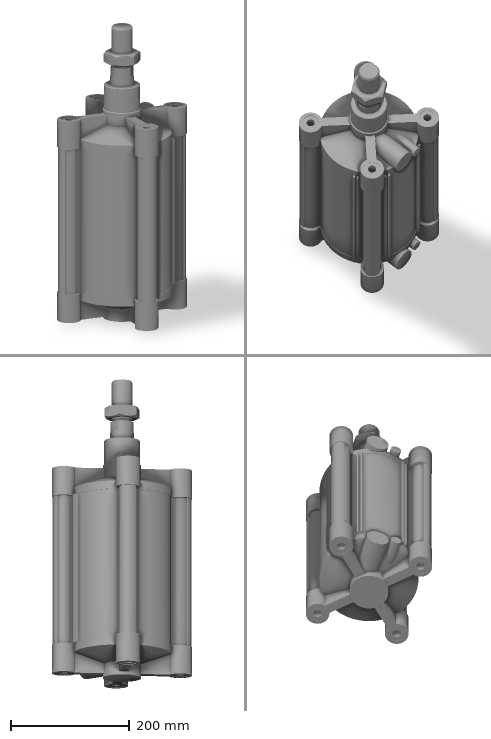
import cadquery as cq
import math

total_length = 513.0
pilot_height = 6.0
cap_height = 49.0
cap_rim_height = 14.0
cone_height = 18.5
barrel_bottom = pilot_height + cap_height
barrel_length = 256.0
barrel_top = barrel_bottom + barrel_length
head_top = barrel_top + cap_height + pilot_height

cap_diameter = 168.0
pilot_diameter = 65.0
boss_spacing = 140.0
boss_diameter = 40.0
boss_hole_diameter = 14.0
boss_hole_depth = 31.0
boss_recess_diameter = 28.0
boss_recess_depth = 1.0
rib_width = 16.5
collar_diameter = 61.0
collar_top = 410.5
collar_chamfer = 1.0
collar_foot_height = 1.0

port_face_y = (boss_spacing + boss_diameter) / 2
port_diameter = 38.5
port_x = 11.5
port_height = cap_height / 2
screw_boss_diameter = 18.0
screw_boss_x = -21.0
screw_boss_height = 17.0

barrel_diameter = 166.0
lobe_nose_radius = 14.5
lobe_nose_center = 73.5
lobe_land_width = 3.5
lobe_step = 3.0
lobe_cheek_radius = 15.0
lobe_stem_width = 23.0
rail_angle = 27.0
rail_gap = 3.5
rail_width = 3.0
rail_reach = 89.0

rod_diameter = 40.0
rod_end_diameter = 39.5
rod_end_bottom = 424.0
thread_diameter = 36.0
thread_chamfer_height = 3.5
thread_runout_height = 1.5
thread_bottom = 444.5
neck_diameter = 32.0
shoulder_z = 441.5
flat_height = 16.0
flat_spacing = 36.0

nut_across_flats = 55.0
nut_across_corners = nut_across_flats / math.cos(math.pi / 6)
nut_height = 19.5
nut_bottom = 448.5
nut_face_diameter = 52.5
nut_chamfer_angle = 30.0

boss_points = [(sx * boss_spacing / 2, sy * boss_spacing / 2) for sx in (-1, 1) for sy in (-1, 1)]


def cylinder(diameter, bottom, top):
    return cq.Workplane("XY").workplane(offset=bottom).circle(diameter / 2).extrude(top - bottom)


def turned(profile):
    """Solid of revolution about Z from (radius, height) points."""
    return cq.Workplane("XZ").polyline(profile).close().revolve(360, (0, 0, 0), (0, 1, 0))


def port_tube(diameter, x, z):
    """Tube that runs from the cap axis to the +Y port face."""
    return cq.Workplane("XZ").center(x, z).circle(diameter / 2).extrude(-port_face_y)


def make_cap():
    """End cap with its barrel end on Z = 0 and its pilot pointing up."""
    rim = cap_diameter / 2
    pilot = pilot_diameter / 2
    pilot_top = cap_height + pilot_height
    cone_top = cap_rim_height + cone_height
    dome = turned(
        [(0, 0), (rim, 0), (rim, cap_rim_height), (pilot, cone_top), (pilot, pilot_top), (0, pilot_top)]
    )
    cap = dome
    rib_length = boss_spacing * math.sqrt(2)
    for angle in (45, -45):
        rib = cq.Workplane("XY").rect(rib_length, rib_width).extrude(cap_height)
        cap = cap.union(rib.rotate((0, 0, 0), (0, 0, 1), angle))
    cap = cap.union(cq.Workplane("XY").pushPoints(boss_points).circle(boss_diameter / 2).extrude(cap_height))
    cap = cap.union(port_tube(port_diameter, port_x, port_height))
    cap = cap.union(port_tube(screw_boss_diameter, screw_boss_x, screw_boss_height))
    below = cq.Workplane("XY").rect(2 * cap_diameter, 2 * cap_diameter).extrude(-cap_height)
    cap = cap.cut(below)
    holes = cq.Workplane("XY").workplane(offset=cap_height).pushPoints(boss_points)
    cap = cap.cut(holes.circle(boss_hole_diameter / 2).extrude(-boss_hole_depth))
    return cap.cut(holes.circle(boss_recess_diameter / 2).extrude(-boss_recess_depth))


def make_head_cap():
    """Cap at the rod end, with the guide collar and the rod bore."""
    head = make_cap().translate((0, 0, barrel_top))
    collar = collar_diameter / 2
    foot = turned([(0, 0), (pilot_diameter / 2, 0), (collar, collar_foot_height), (0, collar_foot_height)])
    guide = cylinder(collar_diameter, head_top, collar_top).faces(">Z").chamfer(collar_chamfer)
    head = head.union(foot.translate((0, 0, head_top))).union(guide)
    return head.cut(cylinder(rod_diameter, barrel_top, collar_top))


def make_rear_cap():
    """The same cap turned over at the closed end, ports still on +Y."""
    return make_cap().mirror("XY").translate((0, 0, barrel_bottom))


def lobe():
    """Corner lobe in the +X +Y corner: a round nose between two stepped lands, round cheeks, a stem."""
    c = lobe_nose_center
    outer = c + lobe_nose_radius
    nose = lobe_nose_radius * math.sqrt(0.5)
    land_end = c - lobe_land_width
    cheek_start = outer - lobe_step
    cheek_center = cheek_start - lobe_cheek_radius
    cheek = lobe_cheek_radius * math.sqrt(0.5)
    inner = land_end - lobe_cheek_radius
    head = (
        cq.Workplane("XY")
        .moveTo(inner, cheek_center)
        .threePointArc((land_end - cheek, cheek_center + cheek), (land_end, cheek_start))
        .lineTo(land_end, outer)
        .lineTo(c, outer)
        .threePointArc((c + nose, c + nose), (outer, c))
        .lineTo(outer, land_end)
        .lineTo(cheek_start, land_end)
        .threePointArc((cheek_center + cheek, land_end - cheek), (cheek_center, inner))
        .close()
        .extrude(barrel_length)
    )
    stem_length = c * math.sqrt(2)
    stem = (
        cq.Workplane("XY")
        .center(stem_length / 2, 0)
        .rect(stem_length, lobe_stem_width)
        .extrude(barrel_length)
        .rotate((0, 0, 0), (0, 0, 1), 45)
    )
    return head.union(stem)


def make_barrel():
    barrel = cq.Workplane("XY").circle(barrel_diameter / 2).extrude(barrel_length)
    for turn in (0, 90, 180, 270):
        barrel = barrel.union(lobe().rotate((0, 0, 0), (0, 0, 1), turn))
    rail_offset = (rail_gap + rail_width) / 2
    rails = (
        cq.Workplane("XY")
        .pushPoints([(rail_reach / 2, -rail_offset), (rail_reach / 2, rail_offset)])
        .rect(rail_reach, rail_width)
        .extrude(barrel_length)
    )
    for angle in (rail_angle, 90 - rail_angle, 90 + rail_angle, 180 - rail_angle):
        barrel = barrel.union(rails.rotate((0, 0, 0), (0, 0, 1), angle))
    return barrel.translate((0, 0, barrel_bottom))


def make_rod():
    """Rod with wrench flats on its X sides, an undercut neck and a chamfered thread."""
    rod = cylinder(rod_diameter, barrel_top, rod_end_bottom)
    rod = rod.union(cylinder(rod_end_diameter, rod_end_bottom, shoulder_z))
    flats = (
        cq.Workplane("XY")
        .workplane(offset=shoulder_z - flat_height)
        .rect(rod_diameter * 2, rod_diameter * 2)
        .rect(flat_spacing, rod_diameter * 2)
        .extrude(flat_height)
    )
    neck = neck_diameter / 2
    thread = thread_diameter / 2
    tip = turned(
        [
            (0, shoulder_z),
            (neck, shoulder_z),
            (neck, thread_bottom),
            (thread, thread_bottom + thread_runout_height),
            (thread, total_length - thread_chamfer_height),
            (neck, total_length),
            (0, total_length),
        ]
    )
    return rod.cut(flats).union(tip)


def make_nut():
    """Hexagon nut with both ends turned to a cone, flats facing X."""
    nut = (
        cq.Workplane("XY")
        .polygon(6, nut_across_corners)
        .extrude(nut_height)
        .rotate((0, 0, 0), (0, 0, 1), 30)
    )
    corner = nut_across_corners / 2
    face = nut_face_diameter / 2
    drop = (corner - face) * math.tan(math.radians(nut_chamfer_angle))
    blank = turned(
        [(0, 0), (face, 0), (corner, drop), (corner, nut_height - drop), (face, nut_height), (0, nut_height)]
    )
    nut = nut.intersect(blank).translate((0, 0, nut_bottom))
    return nut.cut(cylinder(thread_diameter, nut_bottom, nut_bottom + nut_height))


head_cap = make_head_cap()
rear_cap = make_rear_cap()
barrel = make_barrel()
rod = make_rod()
nut = make_nut()

result = cq.Compound.makeCompound([head_cap.val(), rear_cap.val(), barrel.val(), rod.val(), nut.val()])